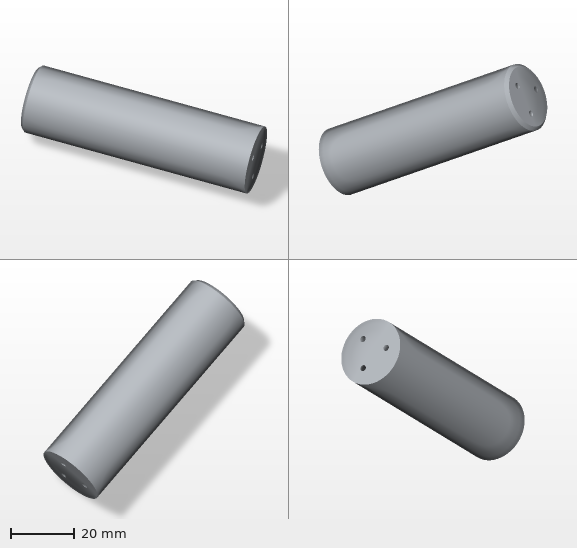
import cadquery as cq
import math

rod_length = 75.0
rod_diameter = 22.0
chamfer_size = 1.1

channel_count = 3
channel_diameter = 2.0
channel_pitch_radius = 5.75
first_channel_angle = 45.0
helix_angle = 30.0
helix_lead = math.pi * rod_diameter / math.tan(math.radians(helix_angle))
channel_twist = 360.0 * rod_length / helix_lead


def make_rod():
    rod = cq.Workplane("YZ").circle(rod_diameter / 2).extrude(rod_length)
    return rod.faces("<X").chamfer(chamfer_size)


def make_channel(start_angle):
    """Right-hand helical channel that starts at start_angle on the -X end."""
    y = -channel_pitch_radius * math.cos(math.radians(start_angle))
    z = channel_pitch_radius * math.sin(math.radians(start_angle))
    profile = cq.Workplane("YZ").moveTo(y, z).circle(channel_diameter / 2)
    return profile.twistExtrude(rod_length, channel_twist)


result = make_rod()
for index in range(channel_count):
    channel = make_channel(first_channel_angle + index * 360.0 / channel_count)
    result = result.cut(channel)